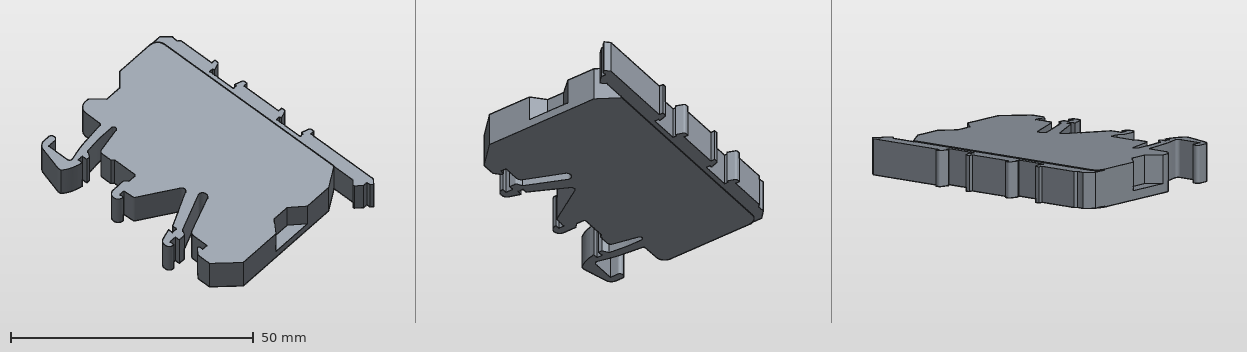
import cadquery as cq
import math


TOTAL_LENGTH = 58.42
TOTAL_HEIGHT = 42.6
THICKNESS = 8.0

HOUSING_LENGTH = 52.16
HOUSING_TOP = 38.6
LEFT_FLOOR = 14.5
FLOOR_DROP = 0.12
CORNER_RADIUS = 2.1
TOP_BEVEL_WIDTH = 2.95
TOP_BEVEL_HEIGHT = 4.9
BOTTOM_BEVEL_WIDTH = 5.0
BOTTOM_BEVEL_HEIGHT = 4.85


ARM_LEFT = 6.35
ARM_RIGHT = 8.55
ARM_INNER_CORNER = 0.4
ARM_OUTER_BEND = (7.1, 7.3, 28.0)
ARM_SLOT_BEND = (ARM_RIGHT, 11.4, 15.0)
ARM_CATCH_ROOT = (8.95, 7.4)
HOOK_LEFT = 0.5
HOOK_LIP_WIDTH = 1.65
HOOK_LIP_TOP = 5.55
HOOK_FLOOR = 2.95
HOOK_FLOOR_END = (8.2, HOOK_FLOOR, 0.7)
HOOK_LIP_RADIUS = 0.7
HOOK_HEEL = (HOOK_LEFT, 1.95, 1.8)
HOOK_TOE_CURVE = (9.5, 1.5, 8.0)
HOOK_TOE = 8.2
HOOK_TOE_WIDTH = 0.85
HOOK_CATCH = 10.3
LOWER_CATCH_SETBACK = 0.1
CATCH_DEPTH = 1.25
CATCH_BOTTOM = 4.4
CATCH_TOP = 5.65
CATCH_TOOTH_TOP = 6.5
HOOK_SLOT_TOP = 15.75
HOOK_SLOT_RIGHT = 9.6
HOOK_SLOT_RADII = (0.55, 0.5)

STEP_FLOOR = 8.85
STEP_LEFT = 11.0
STEP_RIGHT = 14.1
STEP_RADIUS = 0.9
STEP_SLOPE_WIDTH = 0.5
RAIL_FLOOR = 9.4
RAIL_CORNER_RADIUS = 0.4
FIXED_FOOT_LEFT = 19.65
FIXED_FOOT_NECK = 20.55
FIXED_FOOT_NECK_BOTTOM = 7.35
FIXED_FOOT_SHOULDER = 6.5
FIXED_FOOT_SHOULDER_RADIUS = 0.4
FIXED_FOOT_BOTTOM = 2.0
FIXED_FOOT_RADIUS = 1.4
FIXED_FOOT_NOTCH = 21.45
FIXED_FOOT_HEEL = 24.15
FIXED_FOOT_HEEL_RISE = 0.12
FIXED_FOOT_HEEL_RADIUS = 0.6
FOOT_NOTCH_BOTTOM = 3.45
FOOT_NOTCH_TOP = 4.7

VALLEY_APEX = 14.35
VALLEY_X = 30.45
VALLEY_RADIUS = 0.8
SPRING_LEFT = 35.0
SPRING_NOTCH = 36.1
SPRING_RIGHT = 38.45
SPRING_TOE = 36.05
SPRING_TOE_RADIUS = 1.25
SPRING_HEEL_RADIUS = 1.05
SPRING_SHOULDER = (SPRING_RIGHT, 4.6, 0.4)
SPRING_SLOT_MOUTH = (37.2, 5.3)
SPRING_CATCH = 37.35
SPRING_CATCH_BOTTOM = 1.3
SPRING_CATCH_TOP = 2.95
SPRING_SLOT_TOP = 15.5
SPRING_SLOT_RADIUS = 0.95
SPRING_SLOT_LEFT = 33.0
SPRING_SLOT_RIGHT = 35.25

END_FLOOR = 5.7
END_FLOOR_START = (39.1, END_FLOOR, 1.2)
END_NOTCH = 43.65
END_TOOTH = 42.6
END_TOOTH_RADIUS = 0.3
END_TOOTH_BOTTOM = 3.9
END_NOTCH_BOTTOM = 4.4
END_BOTTOM = 2.6
END_TOE = (44.0, END_BOTTOM, 0.5)

POCKET_DEPTH = 6.0
POCKET_INSET = 2.85
POCKET_MOUTH = (17.5, 27.15)
POCKET_BACK = (20.1, 24.1)

STRIP_INSET = 0.2
STRIP_TOP = 41.65
STRIP_LEFT_TOP = 39.52
STRIP_OVERLAP = 2.5
STRIP_BEVEL_END = (1.9, 41.25)
STRIP_DIP = 41.1
STRIP_DIP_LEFT = 2.55
STRIP_DIP_RIGHT = 3.4
STRIP_DIP_SLOPE_WIDTH = 0.5
STRIP_NOSE_BOTTOM = 37.65
STRIP_NOSE_LEFT = 54.5
STRIP_NOSE_TIP = (55.4, 55.7)
STRIP_NOSE_RIGHT = 57.05
STRIP_NOSE_SHOULDER = 39.0
STRIP_TIP_START = 57.4
STRIP_TIP_HEIGHT = 40.65
STRIP_TIP_UNDERSIDE = 40.05
STRIP_TIP_UNDERSIDE_END = 57.9

WINDOW_CENTRES = (16.95, 35.52)
WINDOW_FLOOR = 39.7
WINDOW_HALF_WIDTH = 3.28
LIP_OUTER = 4.46
LIP_TOP_INNER = 3.45
LIP_RADIUS = 0.5
LIP_TIP = 2.78
LIP_UNDERSIDE = 40.6

SAME_POINT = 1e-6


def corner_tangents(before, corner, after, radius):
    """Start, middle and end of the arc that rounds a corner."""
    def unit(point):
        length = math.dist(corner, point)
        return ((point[0] - corner[0]) / length, (point[1] - corner[1]) / length)

    u = unit(before)
    v = unit(after)
    half_angle = math.acos(u[0] * v[0] + u[1] * v[1]) / 2
    tangent = radius / math.tan(half_angle)
    bisector_length = math.hypot(u[0] + v[0], u[1] + v[1])
    middle_reach = radius / math.sin(half_angle) - radius
    start = (corner[0] + u[0] * tangent, corner[1] + u[1] * tangent)
    middle = (
        corner[0] + (u[0] + v[0]) / bisector_length * middle_reach,
        corner[1] + (u[1] + v[1]) / bisector_length * middle_reach,
    )
    end = (corner[0] + v[0] * tangent, corner[1] + v[1] * tangent)
    return start, middle, end


def extrude_outline(corners, base, height):
    """Extrude a closed outline of (x, y) sharp and (x, y, radius) rounded corners.

    The first corner must be sharp.
    """
    sketch = cq.Workplane("XY").workplane(offset=base).moveTo(*corners[0])
    position = corners[0]
    for index in range(1, len(corners)):
        corner = corners[index]
        if len(corner) == 2:
            sketch = sketch.lineTo(*corner)
            position = corner
            continue
        before = corners[index - 1][:2]
        after = corners[(index + 1) % len(corners)][:2]
        start, middle, end = corner_tangents(before, corner[:2], after, corner[2])
        if math.dist(position, start) > SAME_POINT:
            sketch = sketch.lineTo(*start)
        sketch = sketch.threePointArc(middle, end)
        position = end
    return sketch.close().extrude(height)


def hook_foot():
    """Springy arm with an upturned hook, from the left floor to the slot behind the arm."""
    lip_right = HOOK_LEFT + HOOK_LIP_WIDTH
    return [
        (ARM_LEFT, LEFT_FLOOR - FLOOR_DROP, ARM_INNER_CORNER),
        ARM_OUTER_BEND,
        HOOK_FLOOR_END,
        (lip_right, HOOK_FLOOR),
        (lip_right, HOOK_LIP_TOP, HOOK_LIP_RADIUS),
        (HOOK_LEFT, HOOK_LIP_TOP, HOOK_LIP_RADIUS),
        HOOK_HEEL,
        (HOOK_TOE - HOOK_TOE_WIDTH, 0),
        (HOOK_TOE, 0),
        HOOK_TOE_CURVE,
        (HOOK_CATCH - LOWER_CATCH_SETBACK, CATCH_BOTTOM),
        (HOOK_CATCH - CATCH_DEPTH, CATCH_BOTTOM),
        (HOOK_CATCH - CATCH_DEPTH, CATCH_TOP),
        (HOOK_CATCH, CATCH_TOP),
        (HOOK_CATCH, CATCH_TOOTH_TOP),
        ARM_CATCH_ROOT,
        ARM_SLOT_BEND,
        (ARM_RIGHT, HOOK_SLOT_TOP, HOOK_SLOT_RADII[0]),
        (HOOK_SLOT_RIGHT, HOOK_SLOT_TOP, HOOK_SLOT_RADII[1]),
    ]


def fixed_foot():
    """Stepped rail seat and the rigid foot beside it."""
    fixed_foot_right = FIXED_FOOT_LEFT + 2 * FIXED_FOOT_RADIUS
    return [
        (STEP_LEFT, STEP_FLOOR, STEP_RADIUS),
        (STEP_RIGHT, STEP_FLOOR),
        (STEP_RIGHT + STEP_SLOPE_WIDTH, RAIL_FLOOR),
        (FIXED_FOOT_NECK, RAIL_FLOOR, RAIL_CORNER_RADIUS),
        (FIXED_FOOT_NECK, FIXED_FOOT_NECK_BOTTOM),
        (FIXED_FOOT_LEFT, FIXED_FOOT_SHOULDER, FIXED_FOOT_SHOULDER_RADIUS),
        (FIXED_FOOT_LEFT, FIXED_FOOT_BOTTOM, FIXED_FOOT_RADIUS),
        (fixed_foot_right, FIXED_FOOT_BOTTOM, FIXED_FOOT_RADIUS),
        (fixed_foot_right, FOOT_NOTCH_BOTTOM),
        (FIXED_FOOT_NOTCH, FOOT_NOTCH_BOTTOM),
        (FIXED_FOOT_NOTCH, FOOT_NOTCH_TOP),
        (FIXED_FOOT_HEEL, FOOT_NOTCH_TOP + FIXED_FOOT_HEEL_RISE, FIXED_FOOT_HEEL_RADIUS),
    ]


def spring_foot():
    """Slanted spring leg between the open valley and the narrow slot."""
    return [
        (VALLEY_X, VALLEY_APEX, VALLEY_RADIUS),
        (SPRING_LEFT, FOOT_NOTCH_TOP),
        (SPRING_NOTCH, FOOT_NOTCH_TOP),
        (SPRING_NOTCH, FOOT_NOTCH_BOTTOM),
        (SPRING_LEFT, FOOT_NOTCH_BOTTOM),
        (SPRING_TOE, 0, SPRING_TOE_RADIUS),
        (SPRING_RIGHT, 0, SPRING_HEEL_RADIUS),
        (SPRING_RIGHT, SPRING_CATCH_BOTTOM),
        (SPRING_CATCH, SPRING_CATCH_BOTTOM),
        (SPRING_CATCH, SPRING_CATCH_TOP),
        (SPRING_RIGHT, SPRING_CATCH_TOP),
        SPRING_SHOULDER,
        SPRING_SLOT_MOUTH,
        (SPRING_SLOT_LEFT, SPRING_SLOT_TOP, SPRING_SLOT_RADIUS),
        (SPRING_SLOT_RIGHT, SPRING_SLOT_TOP, SPRING_SLOT_RADIUS),
    ]


def end_foot():
    """Hooked foot under the right wall, up to the bottom bevel."""
    return [
        END_FLOOR_START,
        (END_NOTCH, END_FLOOR),
        (END_NOTCH, END_NOTCH_BOTTOM),
        (END_TOOTH, END_NOTCH_BOTTOM, END_TOOTH_RADIUS),
        (END_TOOTH, END_TOOTH_BOTTOM),
        END_TOE,
        (HOUSING_LENGTH - BOTTOM_BEVEL_WIDTH, END_BOTTOM),
        (HOUSING_LENGTH, END_BOTTOM + BOTTOM_BEVEL_HEIGHT),
    ]


def housing():
    """Full-thickness plate with all four feet."""
    corners = [
        (HOUSING_LENGTH, HOUSING_TOP - TOP_BEVEL_HEIGHT),
        (HOUSING_LENGTH - TOP_BEVEL_WIDTH, HOUSING_TOP),
        (0, HOUSING_TOP, CORNER_RADIUS),
        (0, LEFT_FLOOR, CORNER_RADIUS),
    ]
    corners += hook_foot() + fixed_foot() + spring_foot() + end_foot()
    return extrude_outline(corners, 0, THICKNESS)


def side_pocket(wall, inward):
    """Tapered recess in a side wall; inward is +1 or -1 along X."""
    back = wall + inward * POCKET_INSET
    corners = [
        (wall, POCKET_MOUTH[0]),
        (back, POCKET_BACK[0]),
        (back, POCKET_BACK[1]),
        (wall, POCKET_MOUTH[1]),
    ]
    return extrude_outline(corners, THICKNESS - POCKET_DEPTH, POCKET_DEPTH)


def clip_window(centre):
    """Undercut window between two clip lips, listed from left to right."""
    left_half = [
        (-LIP_OUTER, STRIP_TOP),
        (-LIP_OUTER, TOTAL_HEIGHT),
        (-LIP_TOP_INNER, TOTAL_HEIGHT, LIP_RADIUS),
        (-LIP_TIP, LIP_UNDERSIDE),
        (-WINDOW_HALF_WIDTH, LIP_UNDERSIDE),
        (-WINDOW_HALF_WIDTH, WINDOW_FLOOR),
    ]
    right_half = [(-x, *rest) for x, *rest in reversed(left_half)]
    return [(centre + x, *rest) for x, *rest in left_half + right_half]


def marker_strip():
    """Thinner strip along the top, with clip windows and a locking nose at its free end."""
    corners = [
        (0, HOUSING_TOP - STRIP_OVERLAP),
        (0, STRIP_LEFT_TOP),
        STRIP_BEVEL_END,
        (STRIP_DIP_LEFT, STRIP_DIP),
        (STRIP_DIP_RIGHT, STRIP_DIP),
        (STRIP_DIP_RIGHT + STRIP_DIP_SLOPE_WIDTH, STRIP_TOP),
    ]
    for centre in WINDOW_CENTRES:
        corners += clip_window(centre)
    corners += [
        (STRIP_TIP_START, STRIP_TOP),
        (TOTAL_LENGTH, STRIP_TIP_HEIGHT),
        (STRIP_TIP_UNDERSIDE_END, STRIP_TIP_UNDERSIDE),
        (STRIP_NOSE_RIGHT, STRIP_TIP_UNDERSIDE),
        (STRIP_NOSE_RIGHT, STRIP_NOSE_SHOULDER),
        (STRIP_NOSE_TIP[1], STRIP_NOSE_BOTTOM),
        (STRIP_NOSE_TIP[0], STRIP_NOSE_BOTTOM),
        (STRIP_NOSE_LEFT, HOUSING_TOP),
        (CORNER_RADIUS, HOUSING_TOP),
        (CORNER_RADIUS, HOUSING_TOP - STRIP_OVERLAP),
    ]
    return extrude_outline(corners, STRIP_INSET, THICKNESS - 2 * STRIP_INSET)


result = housing().union(marker_strip())
result = result.cut(side_pocket(0, 1))
result = result.cut(side_pocket(HOUSING_LENGTH, -1))